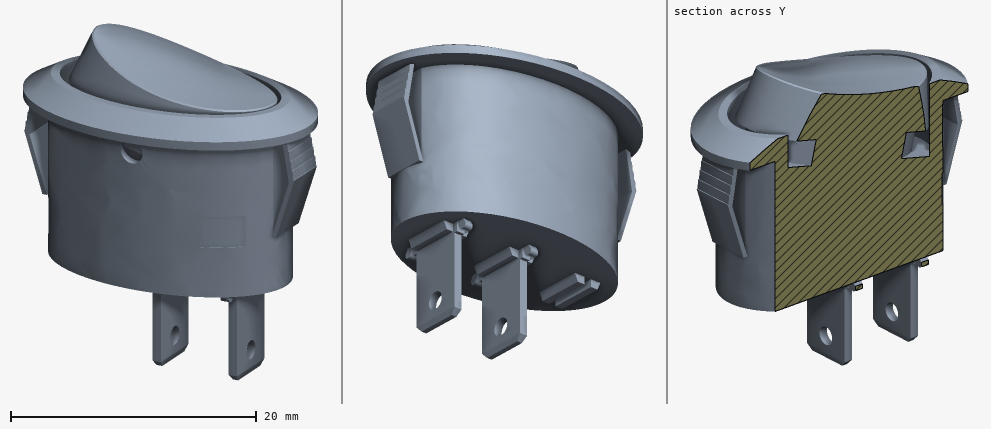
import cadquery as cq
import math

BEZEL_LENGTH = 25.6
BEZEL_WIDTH = 17.5
BEZEL_EDGE = 0.72
BEZEL_HEIGHT = 2.0
BEZEL_SLOPE_RUN = 2.3

OPENING_LENGTH = 19.5
OPENING_WIDTH = 11.52

BODY_LENGTH = 21.45
BODY_WIDTH = 13.4
BODY_DEPTH = 13.55

TOP_LEFT = (-6.8, 5.98)
TOP_MIDDLE = (0, 3.35)
TOP_RIGHT = (9.5, 2.05)
TOP_DROP = TOP_LEFT[1] - TOP_RIGHT[1]
TOP_SPAN = TOP_RIGHT[0] - TOP_LEFT[0]
ROCKER_TILT = math.degrees(math.atan2(TOP_DROP, TOP_SPAN))
ROCKER_TALL = 4.68
ROCKER_TOP_WIDTH = 9.15
ROCKER_FLARE = 1.02
ROCKER_EDGE_BREAK = 0.122
ROCKER_CLEARANCE = 2.22

PIVOT_DIAMETER = 2.0
PIVOT_Z = -1.58
PIVOT_RECESS = 0.33
PIVOT_BEVEL_DEPTH = 0.5

PANEL_X = 7.3
PANEL_TOP = -6.55
PANEL_LENGTH = 3.15
PANEL_HEIGHT = 2.7
PANEL_DEPTH = 0.08

CLIP_WIDTH = 3.93
CLIP_FOOT_Z = -8.75
CLIP_FOOT_INNER_X = 10.35
CLIP_FOOT_OUTER_X = 10.78
CLIP_ELBOW_INNER = (11.97, -3.77)
CLIP_TIP_INNER = (11.33, -0.08)
CLIP_TIP_OUTER = (11.8, -0.25)
TOOTH_COUNT = 4
TOOTH_PITCH = 0.8
TOOTH_FACE_RUN = 0.08
TOOTH_LEDGE = 0.08

TERMINAL_PITCH = 7.0
GUIDE_TOP_LENGTH = 2.71
GUIDE_TIP_LENGTH = 2.1
GUIDE_WIDTH = 4.43
GUIDE_HEIGHT = 0.72
GUIDE_SLOT = 0.7

BLADE_THICKNESS = 0.78
BLADE_WIDTH = 4.76
BLADE_TIP_Z = -21.77
BLADE_TIP_HEIGHT = 0.53
BLADE_TIP_THICKNESS = 0.5
BLADE_TIP_WIDTH = 3.8
BLADE_HOLE_DIAMETER = 1.6
BLADE_HOLE_Z = -19.72
SHOULDER_WIDTH = 5.45
SHOULDER_Z = -14.43

LUG_WIDTH = 0.66
LUG_ANGLE = 30
LUG_TIP_Y = 3.43
LUG_BOTTOM_Z = -14.43


def ellipse_loft(plane, lower, upper, height):
    """Straight-sided solid between two ellipses given as (length, width)."""
    return (
        plane.ellipse(lower[0] / 2, lower[1] / 2)
        .workplane(offset=height)
        .ellipse(upper[0] / 2, upper[1] / 2)
        .loft(ruled=True, combine=True)
    )


def make_housing():
    rim = cq.Workplane("XY").ellipse(BEZEL_LENGTH / 2, BEZEL_WIDTH / 2).extrude(BEZEL_EDGE)
    flank = ellipse_loft(
        cq.Workplane("XY").workplane(offset=BEZEL_EDGE),
        (BEZEL_LENGTH, BEZEL_WIDTH),
        (BEZEL_LENGTH - 2 * BEZEL_SLOPE_RUN, BEZEL_WIDTH - 2 * BEZEL_SLOPE_RUN),
        BEZEL_HEIGHT - BEZEL_EDGE,
    )
    body = cq.Workplane("XY").ellipse(BODY_LENGTH / 2, BODY_WIDTH / 2).extrude(-BODY_DEPTH)
    return body.union(rim).union(flank)


def rocker_base_plane():
    """Tilted plane of the rocker's underside, centred below the middle of the rocker's top edge."""
    tilt = math.radians(ROCKER_TILT)
    x = (TOP_LEFT[0] + TOP_RIGHT[0]) / 2 - ROCKER_TALL * math.sin(tilt)
    z = (TOP_LEFT[1] + TOP_RIGHT[1]) / 2 - ROCKER_TALL * math.cos(tilt)
    return cq.Plane(
        origin=(x, 0, z),
        xDir=(math.cos(tilt), 0, -math.sin(tilt)),
        normal=(math.sin(tilt), 0, math.cos(tilt)),
    )


def make_opening():
    """Elliptical pocket whose tilted floor lies parallel to the rocker's underside."""
    shaft = (
        cq.Workplane("XY")
        .workplane(offset=-BODY_DEPTH)
        .ellipse(OPENING_LENGTH / 2, OPENING_WIDTH / 2)
        .extrude(BODY_DEPTH + BEZEL_HEIGHT)
    )
    above_floor = (
        cq.Workplane(rocker_base_plane())
        .workplane(offset=-ROCKER_CLEARANCE)
        .rect(2 * BEZEL_LENGTH, 2 * BEZEL_WIDTH)
        .extrude(BODY_DEPTH)
    )
    return shaft.intersect(above_floor)


def make_rocker():
    top_length = math.dist(TOP_LEFT, TOP_RIGHT)
    rocker = ellipse_loft(
        cq.Workplane(rocker_base_plane()),
        (top_length + 2 * ROCKER_FLARE, ROCKER_TOP_WIDTH + 2 * ROCKER_FLARE),
        (top_length, ROCKER_TOP_WIDTH),
        ROCKER_TALL,
    )
    hollow = (
        cq.Workplane("XZ")
        .moveTo(*TOP_LEFT)
        .threePointArc(TOP_MIDDLE, TOP_RIGHT)
        .lineTo(TOP_RIGHT[0], 2 * TOP_LEFT[1])
        .lineTo(TOP_LEFT[0], 2 * TOP_LEFT[1])
        .close()
        .extrude(BEZEL_WIDTH / 2, both=True)
    )
    rocker = rocker.cut(hollow).faces(">Z").chamfer(ROCKER_EDGE_BREAK)
    pedestal = (
        cq.Workplane(rocker_base_plane())
        .ellipse(top_length / 2, ROCKER_TOP_WIDTH / 2)
        .extrude(-ROCKER_CLEARANCE)
    )
    return rocker.union(pedestal)


def make_pivot_recess():
    """Round recess in the front wall; the lower half of its floor slopes inward."""
    wall_y = -BODY_WIDTH / 2
    radius = PIVOT_DIAMETER / 2
    floor_y = wall_y + PIVOT_RECESS
    recess = (
        cq.Workplane("XZ", origin=(0, floor_y, PIVOT_Z))
        .circle(radius)
        .extrude(PIVOT_RECESS)
    )
    bevel = (
        cq.Workplane("YZ")
        .polyline([(floor_y, 0), (floor_y + PIVOT_BEVEL_DEPTH, -radius), (floor_y, -radius)])
        .close()
        .extrude(radius, both=True)
        .rotate((0, 0, 0), (0, 1, 0), ROCKER_TILT)
        .translate((0, 0, PIVOT_Z))
    )
    bore = (
        cq.Workplane("XZ", origin=(0, floor_y + PIVOT_BEVEL_DEPTH, PIVOT_Z))
        .circle(radius)
        .extrude(PIVOT_BEVEL_DEPTH)
    )
    return recess.union(bevel.intersect(bore))


def make_panel():
    """Thin slab that follows the curved front wall."""
    block = cq.Workplane("XY").box(PANEL_LENGTH, BODY_WIDTH, PANEL_HEIGHT).translate(
        (PANEL_X, -BODY_WIDTH / 2, PANEL_TOP - PANEL_HEIGHT / 2)
    )
    core = (
        cq.Workplane("XY")
        .ellipse(BODY_LENGTH / 2 - PANEL_DEPTH, BODY_WIDTH / 2 - PANEL_DEPTH)
        .extrude(-BODY_DEPTH)
    )
    return block.cut(core)


def make_clip_recess():
    """Flat cut behind the right-hand clip, ending in a ledge at the clip's foot."""
    length = BODY_LENGTH / 2 - CLIP_FOOT_INNER_X
    return (
        cq.Workplane("XY")
        .box(length, CLIP_WIDTH, -CLIP_FOOT_Z, centered=(False, True, False))
        .translate((CLIP_FOOT_INNER_X, 0, CLIP_FOOT_Z))
    )


def make_clip():
    """Bent right-hand clip with a toothed upper arm."""
    x, z = CLIP_TIP_OUTER
    outline = [(CLIP_FOOT_INNER_X, CLIP_FOOT_Z), CLIP_ELBOW_INNER, CLIP_TIP_INNER, (x, z)]
    for _ in range(TOOTH_COUNT):
        x += TOOTH_FACE_RUN
        z -= TOOTH_PITCH
        outline.append((x, z))
        x += TOOTH_LEDGE
        outline.append((x, z))
    outline.append((CLIP_FOOT_OUTER_X, CLIP_FOOT_Z))
    return cq.Workplane("XZ").polyline(outline).close().extrude(CLIP_WIDTH / 2, both=True)


def make_guide():
    """Pair of wedge-shaped ribs with a slot between them, centred on X = 0."""
    tip_z = -BODY_DEPTH - GUIDE_HEIGHT
    wedge = (
        cq.Workplane("XZ")
        .polyline([
            (-GUIDE_TOP_LENGTH / 2, -BODY_DEPTH),
            (GUIDE_TOP_LENGTH / 2, -BODY_DEPTH),
            (GUIDE_TIP_LENGTH / 2, tip_z),
            (-GUIDE_TIP_LENGTH / 2, tip_z),
        ])
        .close()
        .extrude(GUIDE_WIDTH / 2, both=True)
    )
    slot = cq.Workplane("XY", origin=(0, 0, tip_z)).rect(GUIDE_SLOT, GUIDE_WIDTH).extrude(GUIDE_HEIGHT)
    return wedge.cut(slot)


def make_lug():
    """Round-ended strip leaning outward on the +Y side of the blade."""
    radius = LUG_WIDTH / 2
    tip_z = LUG_BOTTOM_Z + radius
    length = 2 * (-BODY_DEPTH - tip_z)
    return (
        cq.Workplane("YZ")
        .moveTo(-radius, length)
        .lineTo(-radius, 0)
        .threePointArc((0, -radius), (radius, 0))
        .lineTo(radius, length)
        .close()
        .extrude(BLADE_THICKNESS / 2, both=True)
        .rotate((0, 0, 0), (1, 0, 0), LUG_ANGLE)
        .translate((0, LUG_TIP_Y, tip_z))
    )


def make_terminal():
    """Blade with shoulders, tapered tip, hole and two bent lugs, centred on X = 0."""
    taper_z = BLADE_TIP_Z + BLADE_TIP_HEIGHT
    blade = (
        cq.Workplane("XY", origin=(0, 0, taper_z))
        .rect(BLADE_THICKNESS, BLADE_WIDTH)
        .extrude(-BODY_DEPTH - taper_z)
    )
    tip = (
        cq.Workplane("XY", origin=(0, 0, BLADE_TIP_Z))
        .rect(BLADE_TIP_THICKNESS, BLADE_TIP_WIDTH)
        .workplane(offset=BLADE_TIP_HEIGHT)
        .rect(BLADE_THICKNESS, BLADE_WIDTH)
        .loft(ruled=True)
    )
    shoulder = (
        cq.Workplane("XY", origin=(0, 0, SHOULDER_Z))
        .rect(BLADE_THICKNESS, SHOULDER_WIDTH)
        .extrude(-BODY_DEPTH - SHOULDER_Z)
    )
    hole = (
        cq.Workplane("YZ", origin=(0, 0, BLADE_HOLE_Z))
        .circle(BLADE_HOLE_DIAMETER / 2)
        .extrude(BLADE_THICKNESS, both=True)
    )
    lug = make_lug()
    return blade.union(tip).union(shoulder).cut(hole).union(lug).union(lug.mirror("XZ"))


result = make_housing().cut(make_opening()).union(make_rocker())
result = result.cut(make_pivot_recess()).cut(make_panel())

clip_recess = make_clip_recess()
clip = make_clip()
result = result.cut(clip_recess).cut(clip_recess.mirror("YZ"))
result = result.union(clip).union(clip.mirror("YZ"))

for position in (-1, 0, 1):
    result = result.union(make_guide().translate((position * TERMINAL_PITCH, 0, 0)))
for position in (0, 1):
    result = result.union(make_terminal().translate((position * TERMINAL_PITCH, 0, 0)))